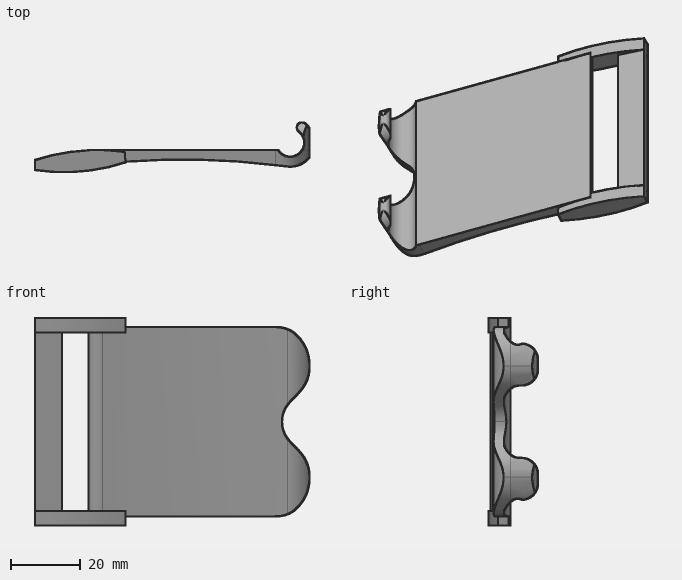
import cadquery as cq
import math

LENGTH = 78.6
HEIGHT = 59.4

RAIL_HEIGHT = 4.25
RAIL_START_BACK = (0, -2.9)
RAIL_START_FRONT = (0, -5.8)
RAIL_BACK_PEAK = (16.5, -0.1)
RAIL_FRONT_PEAK = (8.65, -6.45)
RAIL_END_BACK = (25.7, -0.6)
RAIL_END_FRONT = (25.95, -3.6)

BAR_WIDTH = 7.8
BAR_RISE = 0.7

PLATE_HEIGHT = 54.25
PLATE_START_X = 15.3
PLATE_EDGE_Y = -0.8
NOSE_MIDDLE = (16.5, -3.3)
NOSE_END = (19.4, -4.0)
PLATE_WAIST = (43.2, -2.8)

HOOK_CENTER = (73.0, 2.05)
HOOK_INNER_RADIUS = 4.0
HOOK_OUTER_RADIUS = 6.9
TIP_RADIUS = 1.5
TIP_DISTANCE = HOOK_INNER_RADIUS + TIP_RADIUS
TIP_ANGLE = math.radians(52.0)
HOOK_START_ANGLE = math.radians(-96.0)

FINGER_START_X = 68.8
FINGER_APEX_Z = 15.9
FINGER_SHOULDER = (75.8, 23.8)
FINGER_FLANK = (74.1, 6.8)
NOTCH_X = 70.75

FINGER_CENTER_Z = 16.35
FINGER_WIDTH = 12.1
FINGER_CORNER_DIAMETER = 9.8


def on_circle(center, radius, angle):
    """Point on a circle, with the angle in radians from +X."""
    return (center[0] + radius * math.cos(angle), center[1] + radius * math.sin(angle))


def make_rail():
    """Lens-shaped side rail standing on z = 0."""
    return (
        cq.Workplane("XY")
        .moveTo(*RAIL_START_BACK)
        .threePointArc(RAIL_BACK_PEAK, RAIL_END_BACK)
        .lineTo(*RAIL_END_FRONT)
        .threePointArc(RAIL_FRONT_PEAK, RAIL_START_FRONT)
        .close()
        .extrude(RAIL_HEIGHT)
    )


def make_strap_bar():
    """Bar along the outer end of the strap slot, joining the two rails."""
    return (
        cq.Workplane("XY")
        .moveTo(*RAIL_START_BACK)
        .line(BAR_WIDTH, BAR_RISE)
        .lineTo(BAR_WIDTH, RAIL_START_FRONT[1] + BAR_RISE)
        .lineTo(*RAIL_START_FRONT)
        .close()
        .extrude(HEIGHT / 2, both=True)
    )


def make_hooked_plate():
    """Plate with a rounded nose at the strap slot and a hook at the free end."""
    tip_center = on_circle(HOOK_CENTER, TIP_DISTANCE, TIP_ANGLE)
    tip_root = on_circle(HOOK_CENTER, HOOK_INNER_RADIUS, TIP_ANGLE)

    flank_angle = TIP_ANGLE - math.acos((HOOK_OUTER_RADIUS - TIP_RADIUS) / TIP_DISTANCE)
    tip_end = on_circle(tip_center, TIP_RADIUS, flank_angle)
    flank_end = on_circle(HOOK_CENTER, HOOK_OUTER_RADIUS, flank_angle)
    tip_middle = on_circle(tip_center, TIP_RADIUS, (flank_angle + TIP_ANGLE + math.pi) / 2)

    hook_start = on_circle(HOOK_CENTER, HOOK_OUTER_RADIUS, HOOK_START_ANGLE)
    hook_middle = on_circle(HOOK_CENTER, HOOK_OUTER_RADIUS, (flank_angle + HOOK_START_ANGLE) / 2)

    mouth_half = math.sqrt(HOOK_INNER_RADIUS**2 - HOOK_CENTER[1] ** 2)
    mouth_bottom = (HOOK_CENTER[0], HOOK_CENTER[1] - HOOK_INNER_RADIUS)
    mouth_start = (HOOK_CENTER[0] - mouth_half, 0)

    return (
        cq.Workplane("XY")
        .moveTo(PLATE_START_X, 0)
        .lineTo(*mouth_start)
        .threePointArc(mouth_bottom, tip_root)
        .threePointArc(tip_middle, tip_end)
        .lineTo(*flank_end)
        .threePointArc(hook_middle, hook_start)
        .threePointArc(PLATE_WAIST, NOSE_END)
        .threePointArc(NOSE_MIDDLE, (PLATE_START_X, PLATE_EDGE_Y))
        .close()
        .extrude(PLATE_HEIGHT / 2, both=True)
    )


def make_free_end_outline():
    """XZ outline of the plate: square at the slot, two fingers at the free end."""
    half_height = PLATE_HEIGHT / 2
    apex = (LENGTH, FINGER_APEX_Z)
    upper_half = (
        cq.Workplane("XZ")
        .moveTo(0, 0)
        .lineTo(0, half_height)
        .lineTo(FINGER_START_X, half_height)
        .spline([FINGER_SHOULDER, apex], tangents=[(1, 0), (0, -1)], includeCurrent=True)
        .spline([FINGER_FLANK, (NOTCH_X, 0)], tangents=[(0, -1), (0, -1)], includeCurrent=True)
        .close()
        .extrude(LENGTH, both=True)
    )
    return upper_half.union(upper_half.mirror("XY"))


def make_finger_tops():
    """Envelope that leaves only two rounded fingers beyond the hook center in +Y."""
    tip_y = HOOK_CENTER[1] + TIP_DISTANCE * math.sin(TIP_ANGLE) + TIP_RADIUS
    envelope = (
        cq.Workplane("XY")
        .box(LENGTH, LENGTH, PLATE_HEIGHT, centered=(False, False, True))
        .translate((0, HOOK_CENTER[1] - LENGTH, 0))
    )
    for side in (-1, 1):
        finger = (
            cq.Workplane("XY")
            .box(LENGTH, 2 * tip_y, FINGER_WIDTH, centered=(False, True, True))
            .edges("|X and >Y")
            .fillet(FINGER_CORNER_DIAMETER / 2)
            .translate((0, 0, side * FINGER_CENTER_Z))
        )
        envelope = envelope.union(finger)
    return envelope


plate = make_hooked_plate().intersect(make_free_end_outline()).intersect(make_finger_tops())
lower_rail = make_rail().translate((0, 0, -HEIGHT / 2))
upper_rail = lower_rail.mirror("XY")
result = plate.union(make_strap_bar()).union(lower_rail).union(upper_rail)